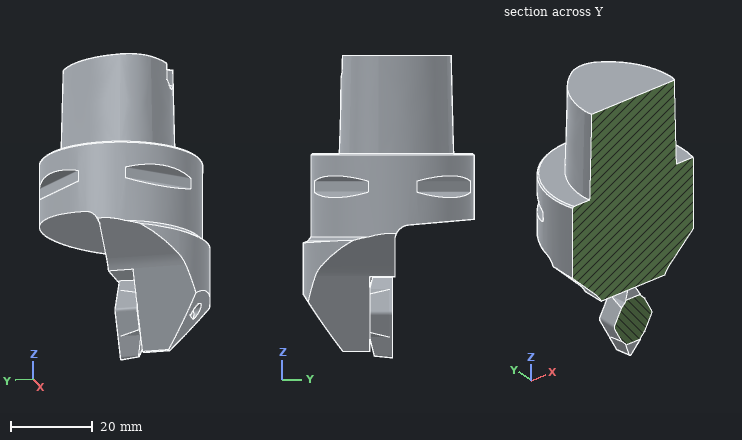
import cadquery as cq
import math

SHANK_HEIGHT = 24.0
SHANK_MEAN_RADIUS = 14.05
SHANK_LOBE = 0.95
SHANK_FLAT_RADIUS = 20.4
SHANK_TAPER_ANGLE = math.degrees(math.atan(1 / 40))

NOTCH_RADIUS = 3.5
NOTCH_CENTER_Y = -14.2
NOTCH_DEPTH = 4.1
NOTCH_CONE_HEIGHT = 3.0
NOTCH_CHAMFER = 0.25

COLLAR_RADIUS = 20.0
COLLAR_BOTTOM_Z = -20.35
COLLAR_CHAMFER = 0.4

SLOT_COUNT = 4
SLOT_START_ANGLE = 45.0
SLOT_CENTER_Z = -8.1
SLOT_FLOOR_DISTANCE = 17.7
SLOT_FLOOR_HALF_HEIGHT = 1.35
SLOT_WALL_ANGLE = 30.0
SLOT_FILLET = 0.3

NECK_BACK_Y = -21.85
NECK_BACK_FLAT_HALF_WIDTH = 0.4
NECK_BACK_RADIUS = 17.5
NECK_BACK_ARC_HALF_WIDTH = 11.7
NECK_SIDE_RADIUS = 28.0
SHOULDER_BEND_RADIUS = 20.8
SHOULDER_BEND_Z = -21.4
SHOULDER_OUTER_RADIUS = 22.3
SHOULDER_OUTER_Z = -22.0

NOSE_HALF_ANGLE = 27.5
NECK_BOTTOM_Z = -48.4
NECK_TIP_HALF_WIDTH = 0.55
FLANK_START_Z = -19.5
FLANK_BEND_RADIUS = 10.0

FACE_Y = 0.64
FACE_FILLET = 3.6
RELIEF_EDGE_Z = -16.1
RELIEF_SLOPE_ANGLE = 5.0

SEAT_Y = -5.55
SEAT_TOP_Z = -30.15

CLEARANCE_TOP_Z = -34.4
CLEARANCE_MID = (-17.75, -40.7)
CLEARANCE_BOTTOM_Y = -12.15

BACK_HOLE_DIAMETER = 4.0
BACK_HOLE_Z = -39.1
BACK_HOLE_FLOOR_Y = -17.85

INSERT_TIP_Z = -50.0
INSERT_TOP_Z = -30.3
INSERT_NOSE_RADIUS = 0.9
INSERT_SIDE_RADIUS = 1.2
INSERT_HALF_WIDTH = 6.1
INSERT_CLEARANCE_ANGLE = 5.8
INSERT_BASE_HALF_LENGTH = 6.25
INSERT_BASE_BEVEL_ANGLE = 14.2
PAD_START_DEPTH = 0.75
PAD_HALF_LENGTH = 5.85
PAD_END_ANGLE = 45.0

OVERCUT = 30.0


def polar(radius, degrees):
    angle = math.radians(degrees)
    return (radius * math.cos(angle), radius * math.sin(angle))


def make_shank():
    flat_distance = SHANK_MEAN_RADIUS - SHANK_LOBE
    corner_distance = SHANK_MEAN_RADIUS + SHANK_LOBE
    flat_offset = SHANK_FLAT_RADIUS - flat_distance
    reach = SHANK_FLAT_RADIUS - corner_distance
    corner_offset = (reach**2 - flat_offset**2) / (flat_offset - 2 * reach)
    corner_x, corner_y = polar(corner_offset, -30)
    joint_angle = math.degrees(math.atan2(corner_y - flat_offset, corner_x))
    joint_dx, joint_dy = polar(SHANK_FLAT_RADIUS, joint_angle)
    joint_radius = math.hypot(joint_dx, flat_offset + joint_dy)
    joint_spread = math.degrees(math.atan2(flat_offset + joint_dy, joint_dx)) + 90

    outline = cq.Workplane("XY").moveTo(*polar(joint_radius, -90 - joint_spread))
    for flat_angle in (-90, 30, 150):
        outline = outline.threePointArc(
            polar(flat_distance, flat_angle),
            polar(joint_radius, flat_angle + joint_spread),
        ).threePointArc(
            polar(corner_distance, flat_angle + 60),
            polar(joint_radius, flat_angle + 120 - joint_spread),
        )
    return outline.close().extrude(SHANK_HEIGHT, taper=SHANK_TAPER_ANGLE)


def make_notch():
    floor_z = SHANK_HEIGHT - NOTCH_DEPTH
    return (
        cq.Workplane("XZ", origin=(0, NOTCH_CENTER_Y, 0))
        .moveTo(0, floor_z - NOTCH_CONE_HEIGHT)
        .lineTo(NOTCH_RADIUS, floor_z)
        .lineTo(NOTCH_RADIUS, SHANK_HEIGHT - NOTCH_CHAMFER)
        .lineTo(NOTCH_RADIUS + NOTCH_CHAMFER, SHANK_HEIGHT)
        .lineTo(0, SHANK_HEIGHT)
        .close()
        .revolve(360, (0, 0), (0, 1))
    )


def make_collar():
    return (
        cq.Workplane("XY")
        .workplane(offset=COLLAR_BOTTOM_Z)
        .circle(COLLAR_RADIUS)
        .extrude(-COLLAR_BOTTOM_Z)
        .faces(">Z")
        .chamfer(COLLAR_CHAMFER)
    )


def make_slot():
    depth = COLLAR_RADIUS - SLOT_FLOOR_DISTANCE
    mouth = SLOT_FLOOR_HALF_HEIGHT + depth * math.tan(math.radians(SLOT_WALL_ANGLE))
    return (
        cq.Workplane("XZ")
        .polyline([
            (SLOT_FLOOR_DISTANCE, SLOT_CENTER_Z - SLOT_FLOOR_HALF_HEIGHT),
            (COLLAR_RADIUS, SLOT_CENTER_Z - mouth),
            (COLLAR_RADIUS, SLOT_CENTER_Z + mouth),
            (SLOT_FLOOR_DISTANCE, SLOT_CENTER_Z + SLOT_FLOOR_HALF_HEIGHT),
        ])
        .close()
        .extrude(COLLAR_RADIUS, both=True)
        .faces("<X")
        .edges("|Y")
        .fillet(SLOT_FILLET)
    )


def make_neck():
    back_x = NECK_BACK_FLAT_HALF_WIDTH
    back_center_y = NECK_BACK_Y + NECK_BACK_RADIUS
    joint_sine = (NECK_BACK_ARC_HALF_WIDTH - back_x) / NECK_BACK_RADIUS
    joint_angle = math.degrees(math.asin(joint_sine)) - 90

    def back_point(angle):
        x, y = polar(NECK_BACK_RADIUS, angle)
        return (back_x + x, back_center_y + y)

    shift_x, shift_y = polar(NECK_SIDE_RADIUS - NECK_BACK_RADIUS, joint_angle)
    side_center_x = back_x - shift_x
    side_center_y = back_center_y - shift_y
    end_angle = math.degrees(math.asin((FACE_Y - side_center_y) / NECK_SIDE_RADIUS))

    def side_point(angle):
        x, y = polar(NECK_SIDE_RADIUS, angle)
        return (side_center_x + x, side_center_y + y)

    half = (
        cq.Workplane("XY")
        .workplane(offset=NECK_BOTTOM_Z)
        .moveTo(0, FACE_Y)
        .lineTo(0, NECK_BACK_Y)
        .lineTo(back_x, NECK_BACK_Y)
        .threePointArc(back_point((joint_angle - 90) / 2), back_point(joint_angle))
        .threePointArc(side_point((joint_angle + end_angle) / 2), side_point(end_angle))
        .close()
        .extrude(COLLAR_BOTTOM_Z - NECK_BOTTOM_Z)
    )
    shoulder = (
        cq.Workplane("XZ")
        .moveTo(0, COLLAR_BOTTOM_Z)
        .lineTo(COLLAR_RADIUS, COLLAR_BOTTOM_Z)
        .lineTo(SHOULDER_BEND_RADIUS, SHOULDER_BEND_Z)
        .lineTo(SHOULDER_OUTER_RADIUS, SHOULDER_OUTER_Z)
        .lineTo(SHOULDER_OUTER_RADIUS, NECK_BOTTOM_Z)
        .lineTo(0, NECK_BOTTOM_Z)
        .close()
        .revolve(360, (0, 0), (0, 1))
    )
    return half.union(half.mirror("YZ")).intersect(shoulder)


def make_flank_outline():
    wedge = math.tan(math.radians(NOSE_HALF_ANGLE))
    bend_rise = (COLLAR_RADIUS - FLANK_START_Z + NECK_BOTTOM_Z - NECK_TIP_HALF_WIDTH) / (wedge - 1)
    bend_x = NECK_TIP_HALF_WIDTH + bend_rise * wedge
    bend_z = NECK_BOTTOM_Z + bend_rise
    wide_x = COLLAR_RADIUS - FLANK_START_Z
    right = [(NECK_TIP_HALF_WIDTH, NECK_BOTTOM_Z), (bend_x, bend_z), (wide_x, 0)]
    left = [(-x, z) for x, z in reversed(right)]
    outline = cq.Workplane("XZ").polyline(right + left).close().extrude(OVERCUT, both=True)
    for x in (-bend_x, bend_x):
        bend_edge = cq.selectors.NearestToPointSelector((x, 0, bend_z))
        outline = outline.edges(bend_edge).fillet(FLANK_BEND_RADIUS)
    return outline


def make_front_relief():
    slope = math.tan(math.radians(RELIEF_SLOPE_ANGLE))
    corner_z = RELIEF_EDGE_Z - (COLLAR_RADIUS - FACE_Y) * slope
    relief = (
        cq.Workplane("YZ")
        .polyline([
            (FACE_Y, corner_z),
            (OVERCUT, RELIEF_EDGE_Z + (OVERCUT - COLLAR_RADIUS) * slope),
            (OVERCUT, NECK_BOTTOM_Z),
            (FACE_Y, NECK_BOTTOM_Z),
        ])
        .close()
        .extrude(OVERCUT, both=True)
    )
    corner_edge = cq.selectors.NearestToPointSelector((0, FACE_Y, corner_z))
    return relief.edges(corner_edge).fillet(FACE_FILLET)


def make_seat():
    height = SEAT_TOP_Z - NECK_BOTTOM_Z
    return (
        cq.Workplane("XY")
        .box(2 * OVERCUT, OVERCUT, height, centered=(True, False, False))
        .translate((0, SEAT_Y, NECK_BOTTOM_Z))
    )


def make_back_clearance():
    return (
        cq.Workplane("YZ")
        .moveTo(NECK_BACK_Y, CLEARANCE_TOP_Z)
        .threePointArc(CLEARANCE_MID, (CLEARANCE_BOTTOM_Y, NECK_BOTTOM_Z))
        .lineTo(NECK_BACK_Y, NECK_BOTTOM_Z)
        .close()
        .extrude(OVERCUT, both=True)
    )


def make_back_hole():
    return (
        cq.Workplane("XZ", origin=(0, BACK_HOLE_FLOOR_Y, BACK_HOLE_Z))
        .circle(BACK_HOLE_DIAMETER / 2)
        .extrude(OVERCUT)
    )


def make_holder():
    body = make_collar().union(make_neck()).intersect(make_flank_outline())
    body = body.cut(make_front_relief()).cut(make_seat())
    body = body.cut(make_back_clearance()).cut(make_back_hole())
    slot = make_slot()
    for index in range(SLOT_COUNT):
        angle = SLOT_START_ANGLE + index * 360 / SLOT_COUNT
        body = body.cut(slot.rotate((0, 0, 0), (0, 0, 1), angle))
    return body.union(make_shank().cut(make_notch()))


def nose_arc_offset():
    """Distance along Z from the insert centre to the centre of a nose arc."""
    nose = math.radians(NOSE_HALF_ANGLE)
    sharp_half_width = INSERT_HALF_WIDTH - INSERT_SIDE_RADIUS + INSERT_SIDE_RADIUS / math.cos(nose)
    return sharp_half_width / math.tan(nose) - INSERT_NOSE_RADIUS / math.sin(nose)


def insert_center_z():
    return INSERT_TIP_Z + INSERT_NOSE_RADIUS + nose_arc_offset()


def make_rhombus(start_depth, inset, taper):
    """Rounded rhombus, shrunk by `inset`, from `start_depth` below the top face to the seat."""
    along = nose_arc_offset()
    across = INSERT_HALF_WIDTH - INSERT_SIDE_RADIUS
    nose_radius = INSERT_NOSE_RADIUS - inset
    side_radius = INSERT_SIDE_RADIUS - inset
    nose_dx, nose_dz = polar(nose_radius, NOSE_HALF_ANGLE)
    side_dx, side_dz = polar(side_radius, NOSE_HALF_ANGLE)
    return (
        cq.Workplane("XZ", origin=(0, -start_depth, insert_center_z()))
        .moveTo(nose_dx, along + nose_dz)
        .lineTo(across + side_dx, side_dz)
        .threePointArc((across + side_radius, 0), (across + side_dx, -side_dz))
        .lineTo(nose_dx, -along - nose_dz)
        .threePointArc((0, -along - nose_radius), (-nose_dx, -along - nose_dz))
        .lineTo(-across - side_dx, -side_dz)
        .threePointArc((-across - side_radius, 0), (-across - side_dx, side_dz))
        .lineTo(-nose_dx, along + nose_dz)
        .threePointArc((0, along + nose_radius), (nose_dx, along + nose_dz))
        .close()
        .extrude(-SEAT_Y - start_depth, taper=taper)
    )


def make_flank_pads():
    """Untapered middle stretches of the flanks, which fade out at slanted ends."""
    clearance = math.tan(math.radians(INSERT_CLEARANCE_ANGLE))
    nose = math.radians(NOSE_HALF_ANGLE)
    end = math.radians(PAD_END_ANGLE)
    start_inset = PAD_START_DEPTH * clearance
    end_x = (nose_arc_offset() - PAD_HALF_LENGTH) * math.tan(nose)
    end_x += (INSERT_NOSE_RADIUS - start_inset) / math.cos(nose)
    diamond_x = end_x + PAD_HALF_LENGTH / math.tan(end)
    diamond_z = diamond_x * math.tan(end)
    end_taper = math.degrees(math.atan(clearance * math.sin(end) / math.cos(nose)))
    pad_ends = (
        cq.Workplane("XZ", origin=(0, -PAD_START_DEPTH, insert_center_z()))
        .polyline([(diamond_x, 0), (0, diamond_z), (-diamond_x, 0), (0, -diamond_z)])
        .close()
        .extrude(-SEAT_Y - PAD_START_DEPTH, taper=end_taper)
    )
    return make_rhombus(PAD_START_DEPTH, start_inset, 0).intersect(pad_ends)


def make_insert_envelope():
    """Side outline: square upper end, and a base bevelled towards both ends."""
    center_z = insert_center_z()
    bevel = math.tan(math.radians(INSERT_BASE_BEVEL_ANGLE))

    def base_y(distance):
        return SEAT_Y + (distance - INSERT_BASE_HALF_LENGTH) * bevel

    return (
        cq.Workplane("YZ")
        .polyline([
            (0, INSERT_TIP_Z),
            (base_y(center_z - INSERT_TIP_Z), INSERT_TIP_Z),
            (SEAT_Y, center_z - INSERT_BASE_HALF_LENGTH),
            (SEAT_Y, center_z + INSERT_BASE_HALF_LENGTH),
            (base_y(INSERT_TOP_Z - center_z), INSERT_TOP_Z),
            (0, INSERT_TOP_Z),
        ])
        .close()
        .extrude(OVERCUT, both=True)
    )


def make_insert():
    blank = make_rhombus(0, 0, INSERT_CLEARANCE_ANGLE)
    return blank.union(make_flank_pads()).intersect(make_insert_envelope())


holder = make_holder()
insert = make_insert()

result = cq.Compound.makeCompound([holder.solids().val(), insert.solids().val()])